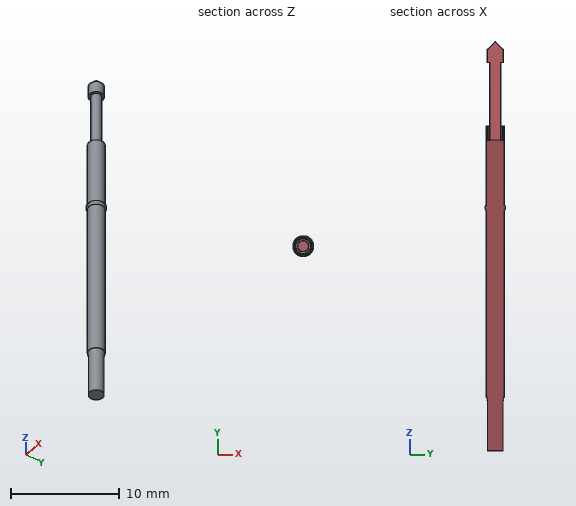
import cadquery as cq

total_height = 37.85

tip_height = 0.75
head_diameter = 1.5
head_bottom_z = 35.9
shaft_diameter = 1.02

barrel_diameter = 1.65
barrel_top_z = 30.0
bore_diameter = 1.35
bore_depth = 1.3
ring_diameter = 1.93
ring_center_z = 22.5
ring_height = 0.45
shoulder_z = 5.0
shoulder_taper_height = 0.35
shoulder_taper_diameter = 1.6
tail_diameter = 1.48


def revolve_about_z(outline):
    """Close a half outline drawn in the XZ plane and turn it around Z."""
    return outline.close().revolve(360, (0, 0, 0), (0, 1, 0))


def make_plunger():
    """Pointed head on a slim shaft that stands on the floor of the bore."""
    shaft_radius = shaft_diameter / 2
    head_radius = head_diameter / 2
    shaft_bottom_z = barrel_top_z - bore_depth
    outline = (
        cq.Workplane("XZ")
        .moveTo(0, shaft_bottom_z)
        .lineTo(shaft_radius, shaft_bottom_z)
        .lineTo(shaft_radius, head_bottom_z)
        .lineTo(head_radius, head_bottom_z)
        .lineTo(head_radius, total_height - tip_height)
        .lineTo(0, total_height)
    )
    return revolve_about_z(outline)


def make_barrel():
    """Barrel with a rounded press ring, a tapered shoulder and an open bore."""
    barrel_radius = barrel_diameter / 2
    tail_radius = tail_diameter / 2
    ring_overhang = ring_diameter / 2 - barrel_radius
    ring_radius = ((ring_height / 2) ** 2 + ring_overhang ** 2) / (2 * ring_overhang)
    ring_bottom_z = ring_center_z - ring_height / 2
    ring_top_z = ring_center_z + ring_height / 2
    bore_floor_z = barrel_top_z - bore_depth
    outline = (
        cq.Workplane("XZ")
        .lineTo(tail_radius, 0)
        .lineTo(tail_radius, shoulder_z - shoulder_taper_height)
        .lineTo(shoulder_taper_diameter / 2, shoulder_z)
        .lineTo(barrel_radius, shoulder_z)
        .lineTo(barrel_radius, ring_bottom_z)
        .radiusArc((ring_diameter / 2, ring_center_z), -ring_radius)
        .radiusArc((barrel_radius, ring_top_z), -ring_radius)
        .lineTo(barrel_radius, barrel_top_z)
        .lineTo(bore_diameter / 2, barrel_top_z)
        .lineTo(bore_diameter / 2, bore_floor_z)
        .lineTo(0, bore_floor_z)
    )
    return revolve_about_z(outline)


plunger = make_plunger()
barrel = make_barrel()
result = cq.Compound.makeCompound([plunger.val(), barrel.val()])